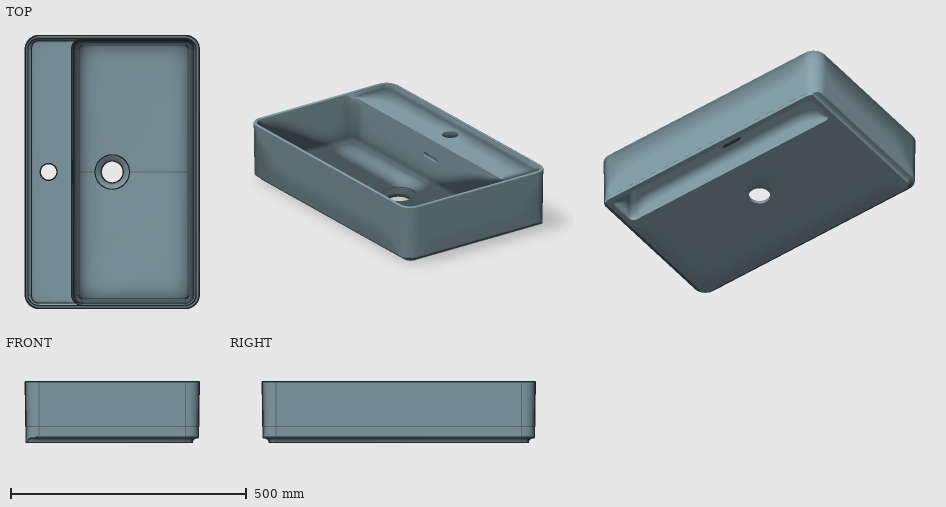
import cadquery as cq

LENGTH_X = 370.0
LENGTH_Y = 580.0
HEIGHT = 130.0
CORNER_RADIUS = 30.0

SKIRT_TOP = 34.0
WALL_DRAFT = 1.5
UNDERSIDE = 9.5
UNDERSIDE_ROUND = 4.0
RIM_ROUND = 2.0
RIM_LIP = 0.5

FOOT_SETBACK = 13.5
FOOT_COVE = 9.0
FOOT_LEFT_STEP = 0.3

RIM_WIDTH = 7.0
DECK_RIM_WIDTH = 6.0
DECK_DEPTH = 10.5
DECK_SLOPE_X = 8.0
DECK_SLOPE_Y = 5.0
DECK_CORNER = 14.0
RIM_INNER_CORNER = CORNER_RADIUS - RIM_WIDTH
DECK_Z = HEIGHT - DECK_DEPTH

BASIN_LEFT = -87.0
BASIN_CORNER = 16.0
BASIN_DRAFT_X = 7.0
BASIN_DRAFT_Y = 5.0
FLOOR_Z = 22.0
FLOOR_FILLET = 10.0
DISH_DEPTH = 7.0

DECK_THICKNESS = 10.0
HOLLOW_WALL = 12.0
HOLLOW_CORNER = 12.0

DRAIN_DIAMETER = 46.0
DRAIN_SINK_DIAMETER = 73.0
DRAIN_SINK_DEPTH = 8.0
TAP_X = -135.0
TAP_DIAMETER = 35.0
OVERFLOW_LENGTH = 50.0
OVERFLOW_HEIGHT = 10.0
OVERFLOW_Z = 80.0

SKIRT_RADIUS = CORNER_RADIUS - WALL_DRAFT
SKIRT_HALF_X = LENGTH_X / 2 - WALL_DRAFT
SKIRT_HALF_Y = LENGTH_Y / 2 - WALL_DRAFT
INNER_LEFT = -LENGTH_X / 2 + DECK_RIM_WIDTH
INNER_RIGHT = LENGTH_X / 2 - RIM_WIDTH
INNER_HALF_Y = LENGTH_Y / 2 - RIM_WIDTH
MOUTH_Z = HEIGHT - RIM_ROUND - RIM_LIP
DISH_Z = FLOOR_Z - DISH_DEPTH


def rounded_outline(x_min, x_max, half_y, radius, z):
    """Closed wire of a rounded rectangle, symmetric in Y, at height z."""
    block = (
        cq.Workplane("XY", origin=((x_min + x_max) / 2, 0, z))
        .rect(x_max - x_min, 2 * half_y)
        .extrude(1)
        .edges("|Z").fillet(radius)
    )
    return block.faces("<Z").wires().val()


def loft_between(lower, upper):
    """Straight-sided solid between two outlines."""
    return cq.Workplane(obj=cq.Solid.makeLoft([lower, upper], True))


def right_rounded_block(x_min, x_max, half_y, radius, z_min, z_max):
    """Block whose two vertical edges on the +X side are rounded."""
    return (
        cq.Workplane("XY", origin=((x_min + x_max) / 2, 0, z_min))
        .rect(x_max - x_min, 2 * half_y)
        .extrude(z_max - z_min)
        .edges("|Z and >X").fillet(radius)
    )


def make_base():
    """Skirt and foot, rounded and coved on three sides and upright on the -X side.

    The blanks run past the -X wall so that the rounds end there when the base is trimmed.
    """
    blank_left = -SKIRT_HALF_X - CORNER_RADIUS
    skirt = right_rounded_block(blank_left, SKIRT_HALF_X, SKIRT_HALF_Y, SKIRT_RADIUS, UNDERSIDE, SKIRT_TOP)
    skirt = skirt.faces("<Z").edges("not <X").fillet(UNDERSIDE_ROUND)

    foot_right = SKIRT_HALF_X - FOOT_SETBACK
    foot_half_y = SKIRT_HALF_Y - FOOT_SETBACK
    foot = right_rounded_block(
        blank_left, foot_right, foot_half_y, SKIRT_RADIUS - FOOT_SETBACK, 0, UNDERSIDE
    )
    junction = cq.selectors.BoxSelector(
        (blank_left + 1, -foot_half_y - 1, UNDERSIDE - 0.5),
        (foot_right + 1, foot_half_y + 1, UNDERSIDE + 0.5),
    )
    blank = skirt.union(foot).edges(junction).fillet(FOOT_COVE)
    trim = (
        cq.Workplane("XY")
        .rect(2 * SKIRT_HALF_X, 2 * SKIRT_HALF_Y)
        .extrude(SKIRT_TOP)
        .edges("|Z").fillet(SKIRT_RADIUS)
    )
    left_step = (
        cq.Workplane("XY", origin=(-SKIRT_HALF_X, 0, 0))
        .rect(2 * FOOT_LEFT_STEP, LENGTH_Y)
        .extrude(UNDERSIDE)
    )
    return blank.intersect(trim).cut(left_step)


def make_walls():
    """Drafted outer block above the skirt, solid, with a rounded top edge."""
    walls = loft_between(
        rounded_outline(-SKIRT_HALF_X, SKIRT_HALF_X, SKIRT_HALF_Y, SKIRT_RADIUS, SKIRT_TOP),
        rounded_outline(-LENGTH_X / 2, LENGTH_X / 2, LENGTH_Y / 2, CORNER_RADIUS, HEIGHT),
    )
    return walls.faces(">Z").edges().fillet(RIM_ROUND)


def make_mouth():
    """Opening through the rim, flaring outwards with the rim's rounded inner edge."""
    outline = rounded_outline(INNER_LEFT, INNER_RIGHT, INNER_HALF_Y, RIM_INNER_CORNER, MOUTH_Z)
    throat = cq.Workplane(obj=cq.Solid.extrudeLinear(outline, [], cq.Vector(0, 0, HEIGHT - MOUTH_Z)))
    above = cq.Workplane("XY", origin=(0, 0, HEIGHT)).rect(LENGTH_X, LENGTH_Y).extrude(1)
    inner_edge = cq.selectors.BoxSelector(
        (-LENGTH_X / 2 + 1, -LENGTH_Y / 2 + 1, HEIGHT - 0.1),
        (LENGTH_X / 2 - 1, LENGTH_Y / 2 - 1, HEIGHT + 0.1),
        boundingbox=True,
    )
    return throat.union(above).edges(inner_edge).fillet(RIM_ROUND)


def make_deck_recess():
    """Shallow recess over the whole inside with sloped borders; its floor is the deck."""
    return loft_between(
        rounded_outline(
            INNER_LEFT + DECK_SLOPE_X,
            INNER_RIGHT - DECK_SLOPE_X,
            INNER_HALF_Y - DECK_SLOPE_Y,
            DECK_CORNER,
            DECK_Z,
        ),
        rounded_outline(INNER_LEFT, INNER_RIGHT, INNER_HALF_Y, RIM_INNER_CORNER, MOUTH_Z),
    )


def make_basin():
    """Drafted basin cavity with a rounded floor border."""
    cavity = loft_between(
        rounded_outline(
            BASIN_LEFT + BASIN_DRAFT_X,
            INNER_RIGHT - BASIN_DRAFT_X,
            INNER_HALF_Y - BASIN_DRAFT_Y,
            BASIN_CORNER,
            FLOOR_Z,
        ),
        rounded_outline(BASIN_LEFT, INNER_RIGHT, INNER_HALF_Y, RIM_INNER_CORNER, MOUTH_Z),
    )
    return cavity.faces("<Z").edges().fillet(FLOOR_FILLET)


def make_floor_dish():
    """Shallow dish falling from the level floor border to the drain."""
    left = BASIN_LEFT + BASIN_DRAFT_X + FLOOR_FILLET
    right = INNER_RIGHT - BASIN_DRAFT_X - FLOOR_FILLET
    half_y = INNER_HALF_Y - BASIN_DRAFT_Y - FLOOR_FILLET
    start = cq.Vector(left, 0, FLOOR_Z)
    lowest = cq.Vector(0, 0, DISH_Z)
    end = cq.Vector(right, 0, FLOOR_Z)
    directions = [lowest - start, cq.Vector(1, 0, 0), end - lowest]
    valley = cq.Edge.makeSpline([start, lowest, end], directions, scale=True)
    far_side = cq.Edge.makeLine(cq.Vector(left, half_y, FLOOR_Z), cq.Vector(right, half_y, FLOOR_Z))
    slope = cq.Face.makeRuledSurface(valley, far_side)
    half = cq.Workplane(obj=cq.Solid.extrudeLinear(slope, cq.Vector(0, 0, 2 * DISH_DEPTH)))
    border = (
        cq.Workplane("XY", origin=((left + right) / 2, 0, DISH_Z))
        .rect(right - left, 2 * half_y)
        .extrude(2 * DISH_DEPTH)
        .edges("|Z").fillet(BASIN_CORNER - FLOOR_FILLET)
    )
    return half.union(half.mirror("XZ")).intersect(border)


def make_drain():
    """Through drain with a conical sink."""
    bore_radius = DRAIN_DIAMETER / 2
    sink_radius = DRAIN_SINK_DIAMETER / 2
    bore = cq.Workplane("XY").circle(bore_radius).extrude(HEIGHT)
    sink = cq.Workplane(
        obj=cq.Solid.makeCone(
            bore_radius, sink_radius, DRAIN_SINK_DEPTH, cq.Vector(0, 0, DISH_Z - DRAIN_SINK_DEPTH)
        )
    )
    mouth = cq.Workplane("XY", origin=(0, 0, DISH_Z)).circle(sink_radius).extrude(DISH_DEPTH)
    return bore.union(sink).union(mouth)


def make_tap_hole():
    """Vertical hole through the deck."""
    return cq.Workplane("XY").center(TAP_X, 0).circle(TAP_DIAMETER / 2).extrude(HEIGHT)


def make_hollow():
    """Space between the -X wall and the back of the basin, under the deck."""
    left = -SKIRT_HALF_X + HOLLOW_WALL
    right = BASIN_LEFT - HOLLOW_WALL
    half_y = SKIRT_HALF_Y - FOOT_SETBACK - HOLLOW_WALL
    return (
        cq.Workplane("XY", origin=((left + right) / 2, 0, 0))
        .rect(right - left, 2 * half_y)
        .extrude(DECK_Z - DECK_THICKNESS)
        .edges("|Z").fillet(HOLLOW_CORNER)
    )


def make_overflow():
    """Overflow slot through the basin wall into the hollow below the deck."""
    return (
        cq.Workplane("YZ", origin=(BASIN_LEFT - HOLLOW_WALL, 0, OVERFLOW_Z))
        .slot2D(OVERFLOW_LENGTH, OVERFLOW_HEIGHT)
        .extrude(HOLLOW_WALL + BASIN_DRAFT_X)
    )


result = make_base().union(make_walls())
for cavity in (make_mouth(), make_deck_recess(), make_basin(), make_floor_dish(), make_hollow()):
    result = result.cut(cavity)
for opening in (make_drain(), make_tap_hole(), make_overflow()):
    result = result.cut(opening)